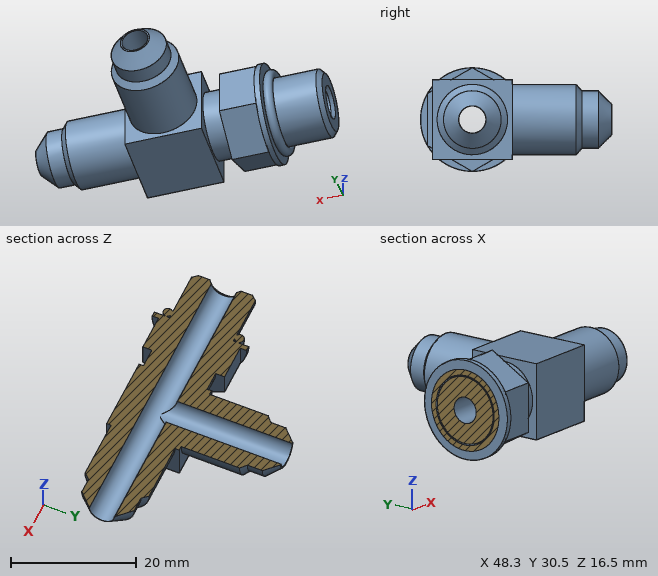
import cadquery as cq

LENGTH = 48.3
PIPE_RADIUS = 5.6
BORE_RADIUS = 4.3 / 2

INLET_CHAMFER_LENGTH = 0.75
INLET_CHAMFER_DEPTH = 0.85
BORE_MOUTH_RADIUS = 5.45 / 2
BORE_MOUTH_DEPTH = BORE_MOUTH_RADIUS - BORE_RADIUS

SEAL_START = 7.75
SEAL_THICKNESS = 1.6
SEAL_OUTER_RADIUS = 7.05
FLANGE_START = SEAL_START + SEAL_THICKNESS
FLANGE_THICKNESS = 0.9
FLANGE_DIAMETER = 16.53
HEX_START = FLANGE_START + FLANGE_THICKNESS
HEX_LENGTH = 6.1

BLOCK_SIZE = 12.7
BLOCK_CENTER = 25.9

SHOULDER_LENGTH = 0.9
NOSE_RADIUS = 4.6
NOSE_LENGTH = 2.6
RUN_TIP_RADIUS = BORE_RADIUS
BRANCH_TIP_RADIUS = 2.4
BRANCH_LENGTH = 22.25


def outlet_profile(length, tip_radius):
    """Axial and radial points of an outlet, from its shoulder to its 45 degree conical tip."""
    nose_end = length - (NOSE_RADIUS - tip_radius)
    nose_start = nose_end - NOSE_LENGTH
    return [
        (nose_start - SHOULDER_LENGTH, PIPE_RADIUS),
        (nose_start, NOSE_RADIUS),
        (nose_end, NOSE_RADIUS),
        (length, tip_radius),
        (length, 0),
    ]


def make_run():
    inlet_profile = [
        (0, 0),
        (0, PIPE_RADIUS - INLET_CHAMFER_DEPTH),
        (INLET_CHAMFER_LENGTH, PIPE_RADIUS),
    ]
    profile = inlet_profile + outlet_profile(LENGTH, RUN_TIP_RADIUS)
    return cq.Workplane("XY").polyline(profile).close().revolve(360, (0, 0), (1, 0))


def make_branch():
    profile = [(0, 0), (0, PIPE_RADIUS)] + outlet_profile(BRANCH_LENGTH, BRANCH_TIP_RADIUS)
    points = [(BLOCK_CENTER + radius, along) for along, radius in profile]
    return (
        cq.Workplane("XY").polyline(points).close()
        .revolve(360, (BLOCK_CENTER, 0), (BLOCK_CENTER, 1))
    )


def make_seal_ring():
    tube_radius = SEAL_THICKNESS / 2
    ring_radius = SEAL_OUTER_RADIUS - tube_radius
    return (
        cq.Workplane("XY")
        .center(SEAL_START + tube_radius, ring_radius)
        .circle(tube_radius)
        .revolve(360, (0, -ring_radius), (1, -ring_radius))
    )


def make_flange():
    return (
        cq.Workplane("YZ", origin=(FLANGE_START, 0, 0))
        .circle(FLANGE_DIAMETER / 2).extrude(FLANGE_THICKNESS)
    )


def make_hexagon():
    return (
        cq.Workplane("YZ", origin=(HEX_START, 0, 0))
        .transformed(rotate=(0, 0, 90))
        .polygon(6, FLANGE_DIAMETER).extrude(HEX_LENGTH)
    )


def make_block():
    return cq.Workplane("XY").box(BLOCK_SIZE, BLOCK_SIZE, BLOCK_SIZE).translate((BLOCK_CENTER, 0, 0))


def make_bores():
    run_profile = [
        (0, 0),
        (0, BORE_MOUTH_RADIUS),
        (BORE_MOUTH_DEPTH, BORE_RADIUS),
        (LENGTH, BORE_RADIUS),
        (LENGTH, 0),
    ]
    run_bore = cq.Workplane("XY").polyline(run_profile).close().revolve(360, (0, 0), (1, 0))
    branch_bore = (
        cq.Workplane("XZ", origin=(BLOCK_CENTER, 0, 0))
        .circle(BORE_RADIUS).extrude(-BRANCH_LENGTH)
    )
    return run_bore.union(branch_bore)


result = (
    make_run()
    .union(make_branch())
    .union(make_block())
    .union(make_flange())
    .union(make_hexagon())
    .union(make_seal_ring())
    .cut(make_bores())
)